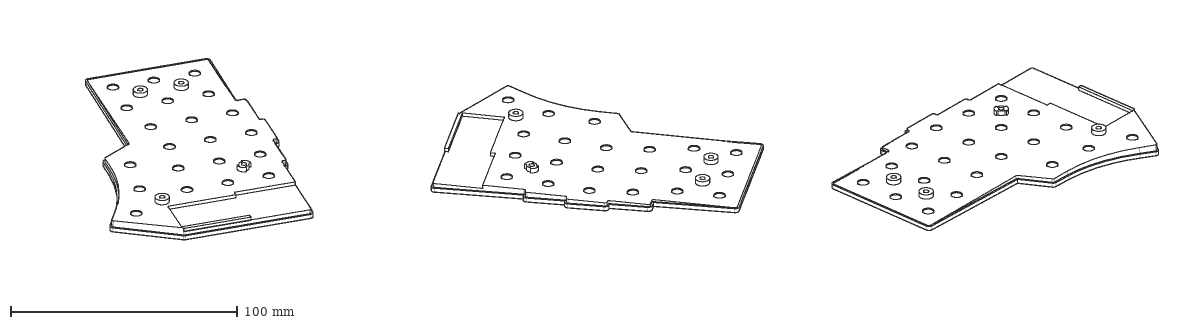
import cadquery as cq
import math

LENGTH = 138.2
TOTAL_HEIGHT = 7.9
BOSS_HEIGHT = 2.2
TILT = 1.5
LEDGE = 0.8
CORNER_RADIUS = 1.8

PITCH = 19.1
LEFT_MARGIN = 1.0
FIRST_KEY_Y = 9.8
ROWS = 3
STAGGER_STEP = 2.3
STAGGER = [steps * STAGGER_STEP for steps in (0, 0, 2, 3, 2, 1)]
BACK_Y = 58.2
KEY_HOLE_DIAMETER = 5.1
KEY_HOLE_DEPTH = 0.5

THUMB_ANGLES = (0.0, 15.0, 30.0)
THUMB_KEY_RADIUS = 82.2
THUMB_KEY_TO_EDGE = (9.7, 10.0, 10.4)
THUMB_EDGE_Y = -14.4
THUMB_NOTCH_OFFSET = 9.7
THUMB_NOTCH_ANGLE = 60.0

BOSS_DIAMETER = 6.4
SCREW_HOLE_DIAMETER = 2.3
RELIEF_DIAMETER = 4.5
RIGHT_BOSS = (112.1, -1.5)

POCKET_DEPTH = 1.7
POCKET_LEFT = 114.9
POCKET_STEP_Y = 31.2
POCKET_FRONT_LEFT = 117.0
POCKET_FRONT_RIGHT = 136.0
POCKET_FRONT_Y = -0.5
RIM_RIGHT = 137.8

RISE = LENGTH * math.tan(math.radians(TILT))
DEPTH = TOTAL_HEIGHT - BOSS_HEIGHT
BASE_THICKNESS = DEPTH - RISE
THUMB_CENTRE_X = LEFT_MARGIN + 4 * PITCH
THUMB_CENTRE_Y = THUMB_EDGE_Y + THUMB_KEY_TO_EDGE[0] - THUMB_KEY_RADIUS


def thumb_point(key, outward=0):
    """Centre of a thumb key, or a point the given distance from it towards the fan centre."""
    turn = math.radians(THUMB_ANGLES[key])
    radius = THUMB_KEY_RADIUS - outward
    return (THUMB_CENTRE_X + radius * math.sin(turn), THUMB_CENTRE_Y + radius * math.cos(turn))


def thumb_edge_point(key):
    return thumb_point(key, THUMB_KEY_TO_EDGE[key])


def grid_x(columns):
    """X of the far side of the given number of key columns."""
    return LEFT_MARGIN + columns * PITCH


def key_point(column, row):
    return (grid_x(column + 0.5), FIRST_KEY_Y + row * PITCH + STAGGER[column])


def outline_points():
    """Corners of the base, clockwise from the start of the thumb arc round to its end."""
    arc_start = thumb_edge_point(0)
    arc_end = thumb_edge_point(2)
    notch_x = arc_start[0] - THUMB_NOTCH_OFFSET
    notch_run = -THUMB_EDGE_Y / math.tan(math.radians(THUMB_NOTCH_ANGLE))
    points = [arc_start, (notch_x, THUMB_EDGE_Y), (notch_x - notch_run, 0), (0, 0), (0, BACK_Y)]

    for column in range(1, len(STAGGER)):
        change = STAGGER[column] - STAGGER[column - 1]
        if change:
            step_x = grid_x(column) - (LEFT_MARGIN if change > 0 else 0)
            points.append((step_x, BACK_Y + STAGGER[column - 1]))
            points.append((step_x, BACK_Y + STAGGER[column]))
    points += [(LENGTH, BACK_Y + STAGGER[-1]), (LENGTH, 0)]

    turn = math.radians(THUMB_ANGLES[-1])
    straight = (LENGTH - arc_end[0]) * math.cos(turn) + arc_end[1] * math.sin(turn)
    points.append((arc_end[0] + straight * math.cos(turn), arc_end[1] - straight * math.sin(turn)))
    return points + [arc_end]


def turns_outward(before, corner, after):
    """True where the clockwise outline bends to the right."""
    cross = (corner[0] - before[0]) * (after[1] - corner[1]) - (corner[1] - before[1]) * (after[0] - corner[0])
    return cross < 0


def base_prism():
    """Full-depth prism of the base outline with its outward corners rounded."""
    points = outline_points()
    arc_middle = thumb_edge_point(1)
    prism = cq.Workplane("XY").polyline(points).threePointArc(arc_middle, points[0]).close().extrude(-DEPTH)
    for before, corner, after in zip(points, points[1:], points[2:]):
        if turns_outward(before, corner, after):
            corner_edge = cq.selectors.NearestToPointSelector((*corner, -DEPTH / 2))
            prism = prism.edges(corner_edge).fillet(CORNER_RADIUS)
    return prism


def box_between(low, high):
    size = [end - start for start, end in zip(low, high)]
    return cq.Workplane("XY").box(*size, centered=False).translate(low)


def cylinders(points, diameter, bottom, top):
    return cq.Workplane("XY", origin=(0, 0, bottom)).pushPoints(points).circle(diameter / 2).extrude(top - bottom)


def wedge(points):
    """Profile in X and Z, extruded far past the part both ways along Y."""
    return cq.Workplane("XZ").polyline(points).close().extrude(LENGTH, both=True)


above_underside = wedge([(0, 0), (LENGTH, 0), (LENGTH, -DEPTH), (0, -BASE_THICKNESS)])
below_ledge = wedge([(0, 0), (LENGTH, -RISE), (LENGTH, -DEPTH), (0, -BASE_THICKNESS)])
outer_prism = base_prism()
plate_outline = outer_prism.faces(">Z").wires().toPending().offset2D(-LEDGE)
plate = plate_outline.extrude(-DEPTH, combine=False).intersect(above_underside)

pocket = box_between((POCKET_LEFT, POCKET_STEP_Y, -POCKET_DEPTH), (LENGTH, LENGTH, 0))
pocket = pocket.union(
    box_between(
        (POCKET_FRONT_LEFT, POCKET_FRONT_Y, -POCKET_DEPTH),
        (POCKET_FRONT_RIGHT, POCKET_STEP_Y, 0),
    )
)
rim = box_between((POCKET_FRONT_RIGHT, 0, -POCKET_DEPTH), (RIM_RIGHT, POCKET_STEP_Y, 0))
body = plate.union(rim).cut(pocket).union(outer_prism.intersect(below_ledge))

grid_keys = [key_point(column, row) for column in range(len(STAGGER)) for row in range(ROWS)]
thumb_keys = [thumb_point(key) for key in range(len(THUMB_ANGLES))]
body = body.cut(cylinders(grid_keys + thumb_keys, KEY_HOLE_DIAMETER, -KEY_HOLE_DEPTH, 0))

left_boss_points = [(grid_x(1), FIRST_KEY_Y + (row + 0.5) * PITCH) for row in range(ROWS - 1)]
notched_x = grid_x(5)
notched_y = FIRST_KEY_Y + 1.5 * PITCH + (STAGGER[4] + STAGGER[5]) / 2
round_boss_points = left_boss_points + [RIGHT_BOSS]
body = body.union(cylinders(round_boss_points, BOSS_DIAMETER, 0, BOSS_HEIGHT))

half = BOSS_DIAMETER / 2
full_quarters = box_between((notched_x - half, notched_y, 0), (notched_x, notched_y + half, BOSS_HEIGHT)).union(
    box_between((notched_x, notched_y - half, 0), (notched_x + half, notched_y, BOSS_HEIGHT))
)
notched_point = [(notched_x, notched_y)]
notched_boss = cylinders(notched_point, BOSS_DIAMETER, 0, BOSS_HEIGHT).intersect(full_quarters)
body = body.union(notched_boss).union(cylinders(notched_point, RELIEF_DIAMETER, 0, BOSS_HEIGHT))

result = body.cut(cylinders(round_boss_points + notched_point, SCREW_HOLE_DIAMETER, -DEPTH, BOSS_HEIGHT))